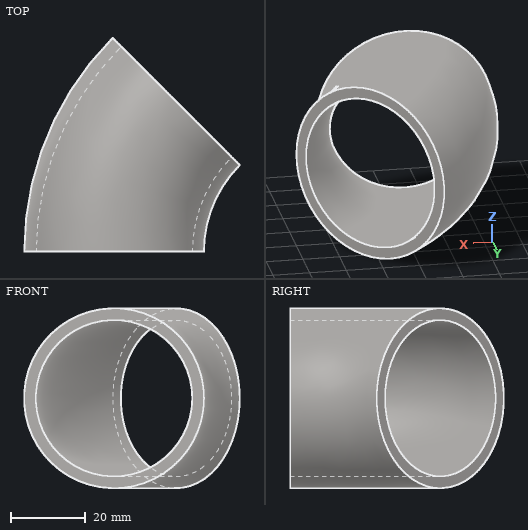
import cadquery as cq
import math

overall_length = 57.9
outer_diameter = 48.3
wall = 3.2
bend_angle = 45.0

outer_radius = outer_diameter / 2
bore_radius = outer_radius - wall

bend_cosine = math.cos(math.radians(bend_angle))
bend_radius = (overall_length - outer_radius * (1 + bend_cosine)) / (1 - bend_cosine)


def bent_rod(radius):
    """Round bar starting on the XZ plane, bent from +Y toward +X."""
    axis_start = (bend_radius, 0)
    axis_end = (bend_radius, -1)
    return cq.Workplane("XZ").circle(radius).revolve(bend_angle, axis_start, axis_end)


result = bent_rod(outer_radius).cut(bent_rod(bore_radius))